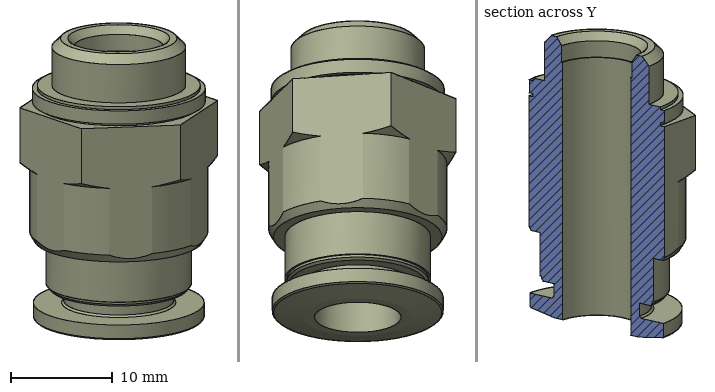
import cadquery as cq
import math

total_height = 28.9
flange_top = 2.02
sleeve_bottom = 3.5
collar_bottom = 8.4
collar_top = 16.0
hex_top = 22.2
thread_bottom = 24.13

flange_diameter = 16.8
flange_face_diameter = 10.58
flange_edge_height = 0.65
flange_edge_chamfer = 0.15
neck_diameter = 10.8
neck_flare = 0.2

sleeve_diameter = 14.3
sleeve_lip_diameter = 13.9
sleeve_lip_height = 0.5
sleeve_chamfer = 0.23

hex_across_flats = 17.0
hex_corner_diameter = hex_across_flats / math.cos(math.radians(30))
collar_diameter = 17.5
collar_chamfer_height = 0.8
collar_chamfer_width = 0.5
corner_slope = math.tan(math.radians(30))

washer_diameter = 17.0
washer_seat_diameter = 16.0
washer_step = 0.3
washer_bottom = hex_top + washer_step
washer_top = thread_bottom - washer_step

thread_diameter = 13.15
thread_chamfer = 0.87

bore_diameter = 8.5
entry_diameter = 8.75
entry_depth = 2.49
countersink_diameter = 10.0
countersink_depth = 0.8


def revolve(profile):
    """Revolve (radius, height) points about Z."""
    return cq.Workplane("XZ").polyline(profile).close().revolve(360, (0, 0, 0), (0, 1, 0))


def cylinder(diameter, bottom, top):
    return cq.Workplane("XY").workplane(offset=bottom).circle(diameter / 2).extrude(top - bottom)


def release_flange():
    radius = flange_diameter / 2
    neck_radius = neck_diameter / 2
    return revolve([
        (0, 0),
        (flange_face_diameter / 2, 0),
        (radius - flange_edge_chamfer, flange_edge_height - flange_edge_chamfer),
        (radius, flange_edge_height),
        (radius, flange_top),
        (neck_radius + neck_flare, flange_top),
        (neck_radius, flange_top + neck_flare),
        (neck_radius, sleeve_bottom),
        (0, sleeve_bottom),
    ])


def sleeve():
    lip_top = sleeve_bottom + sleeve_lip_height
    lip = cylinder(sleeve_lip_diameter, sleeve_bottom, lip_top).faces("<Z").chamfer(sleeve_chamfer)
    return lip.union(cylinder(sleeve_diameter, lip_top, collar_bottom))


def hexagon_body():
    """Hexagonal prism whose lower part is turned round, leaving sloped corners."""
    hexagon = (
        cq.Workplane("XY")
        .workplane(offset=collar_bottom)
        .polygon(6, hex_corner_diameter)
        .extrude(hex_top - collar_bottom)
        .rotate((0, 0, 0), (0, 0, 1), 30)
    )
    collar_radius = collar_diameter / 2
    outer_radius = hex_corner_diameter / 2
    slope_top = collar_top + (outer_radius - collar_radius) * corner_slope
    envelope = revolve([
        (0, collar_bottom),
        (collar_radius - collar_chamfer_width, collar_bottom),
        (collar_radius, collar_bottom + collar_chamfer_height),
        (collar_radius, collar_top),
        (outer_radius, slope_top),
        (outer_radius, hex_top),
        (0, hex_top),
    ])
    return hexagon.intersect(envelope)


def washer():
    seat = cylinder(washer_seat_diameter, hex_top, thread_bottom)
    return seat.union(cylinder(washer_diameter, washer_bottom, washer_top))


def threaded_end():
    return cylinder(thread_diameter, thread_bottom, total_height).faces(">Z").chamfer(thread_chamfer)


def bore():
    return revolve([
        (0, 0),
        (bore_diameter / 2, 0),
        (bore_diameter / 2, total_height - entry_depth),
        (entry_diameter / 2, total_height - entry_depth),
        (entry_diameter / 2, total_height - countersink_depth),
        (countersink_diameter / 2, total_height),
        (0, total_height),
    ])


body = release_flange()
for section in (sleeve(), hexagon_body(), washer(), threaded_end()):
    body = body.union(section)

result = body.cut(bore())